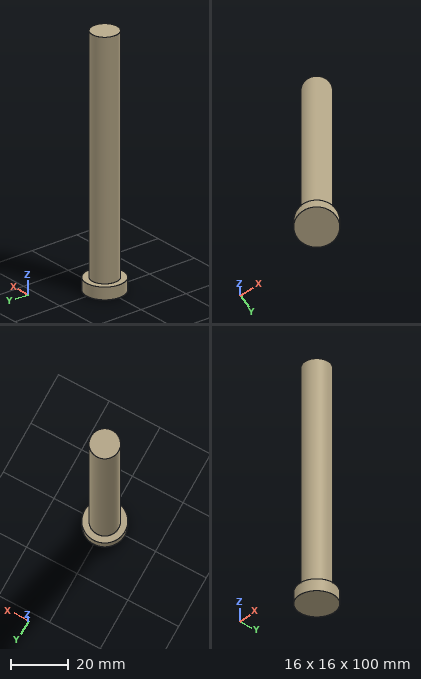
import cadquery as cq

total_length = 100.0
head_diameter = 16.0
head_height = 5.0
shank_diameter = 11.0

shank_length = total_length - head_height

head = cq.Workplane("XY").circle(head_diameter / 2).extrude(head_height)
result = head.faces(">Z").workplane().circle(shank_diameter / 2).extrude(shank_length)